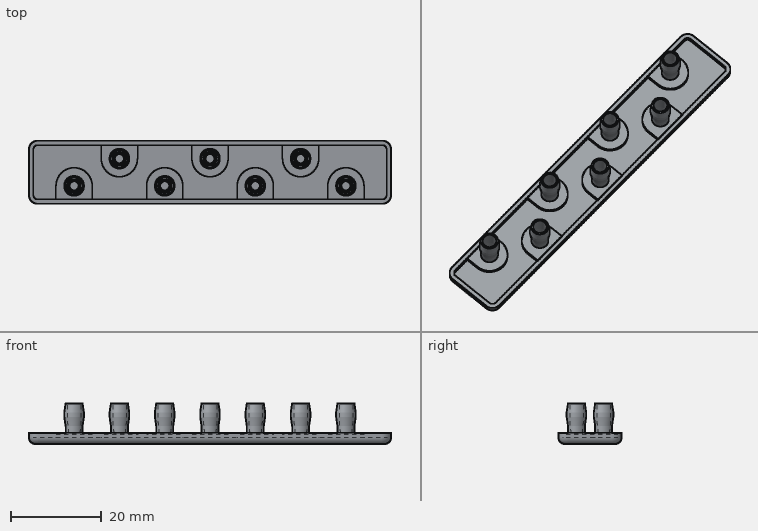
import cadquery as cq

LENGTH = 80.0
WIDTH = 14.0
TRAY_HEIGHT = 2.5
CORNER_RADIUS = 2.0
BOTTOM_FILLET = 1.5
WALL = 1.0
FLOOR = 1.5
POCKET_CORNER_RADIUS = CORNER_RADIUS - WALL

PAD_RADIUS = 4.0
PAD_HEIGHT = 0.7
PAD_TOP = FLOOR + PAD_HEIGHT

PLUG_COUNT = 7
PLUG_PITCH = 10.0
ROW_OFFSET = 3.0

STEM_DIAMETER = 3.8
BARB_DIAMETER = 4.4
STEM_TOP = 4.0
BARB_BOTTOM = 6.0
BARB_TOP = 7.0
PLUG_TOP = 9.0

BORE_DIAMETER = 3.0
TAPER_TOP = 5.0
TAPER_END_DIAMETER = 2.5
BORE_END_DIAMETER = 2.0
BEVEL_HEIGHT = (TAPER_END_DIAMETER - BORE_END_DIAMETER) / 2


def make_tray():
    """Shallow tray with rounded corners and a rounded bottom edge."""
    body = (
        cq.Workplane("XY")
        .rect(LENGTH, WIDTH)
        .extrude(TRAY_HEIGHT)
        .edges("|Z")
        .fillet(CORNER_RADIUS)
        .faces("<Z")
        .edges()
        .fillet(BOTTOM_FILLET)
    )
    pocket = (
        cq.Workplane("XY", origin=(0, 0, FLOOR))
        .rect(LENGTH - 2 * WALL, WIDTH - 2 * WALL)
        .extrude(TRAY_HEIGHT - FLOOR)
        .edges("|Z")
        .fillet(POCKET_CORNER_RADIUS)
    )
    return body.cut(pocket)


def make_pad(x, side):
    """Pad with a round inner end that runs into the side wall; side is -1 or +1 along Y."""
    row_y = side * ROW_OFFSET
    wall_y = side * (WIDTH / 2 - WALL)
    return (
        cq.Workplane("XY", origin=(0, 0, FLOOR))
        .moveTo(x - PAD_RADIUS, wall_y)
        .lineTo(x - PAD_RADIUS, row_y)
        .threePointArc((x, row_y - side * PAD_RADIUS), (x + PAD_RADIUS, row_y))
        .lineTo(x + PAD_RADIUS, wall_y)
        .close()
        .extrude(PAD_HEIGHT)
    )


def make_plug(x, y):
    """Hollow barbed plug, open at the top, standing on its pad."""
    profile = [
        (STEM_DIAMETER / 2, PAD_TOP),
        (STEM_DIAMETER / 2, STEM_TOP),
        (BARB_DIAMETER / 2, BARB_BOTTOM),
        (BARB_DIAMETER / 2, BARB_TOP),
        (STEM_DIAMETER / 2, PLUG_TOP),
        (BORE_DIAMETER / 2, PLUG_TOP),
        (BORE_DIAMETER / 2, TAPER_TOP),
        (TAPER_END_DIAMETER / 2, PAD_TOP + BEVEL_HEIGHT),
        (BORE_END_DIAMETER / 2, PAD_TOP),
    ]
    plug = cq.Workplane("XZ").polyline(profile).close().revolve(360, (0, 0, 0), (0, 1, 0))
    return plug.translate((x, y, 0))


first_x = -PLUG_PITCH * (PLUG_COUNT - 1) / 2

result = make_tray()
for index in range(PLUG_COUNT):
    plug_x = first_x + index * PLUG_PITCH
    row_side = -1 if index % 2 == 0 else 1
    result = result.union(make_pad(plug_x, row_side))
    result = result.union(make_plug(plug_x, row_side * ROW_OFFSET))